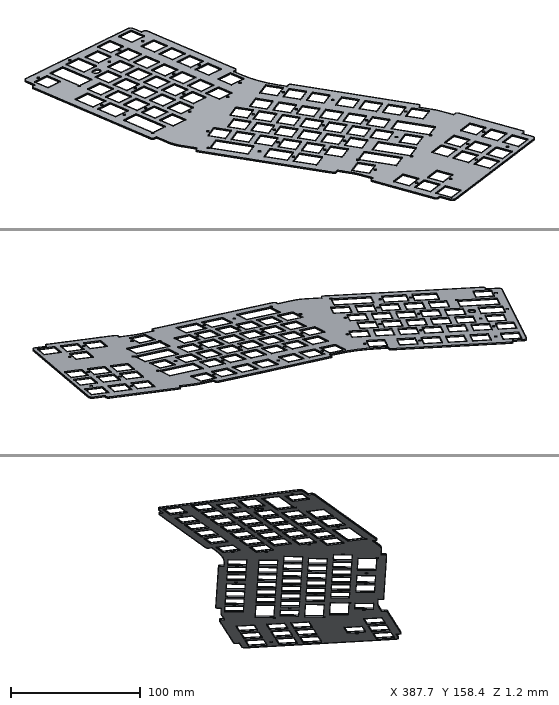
import cadquery as cq
import math

thickness = 1.2
screw_hole_diameter = 2.0
cluster_tilt = 12

seven_key_span = 114.3
steps_per_key = 4
step = seven_key_span / (6 * steps_per_key)
switch_size = 14.5
wide_size = switch_size + step
long_size = switch_size + 3.5 * step

tab_depth = 4.3
left_edge = -11.0
left_top, left_bottom = 10.5, -110.5
right_top, right_bottom = 10.0, -110.5
side_top, side_bottom, side_right = 12.8, -110.0, 48.8

corner_radius = 3.0
tab_corner_radius = 2.0
middle_top_radius = 77.5
middle_bottom_radius = 27.0
side_bend_radius = 31.0


def cluster_plane(x, y, tilt):
    """Local frame with its origin on the top-left key of a cluster."""
    angle = math.radians(tilt)
    return cq.Plane(origin=(x, y, 0), xDir=(math.cos(angle), math.sin(angle), 0), normal=(0, 0, 1))


left = cluster_plane(-160.7, 59.5, -cluster_tilt)
right = cluster_plane(-21.5, 37.5, cluster_tilt)
side = cluster_plane(145.0, 62.0, 0)


def edge_crossing(plane_a, height_a, plane_b, height_b):
    """Point where the horizontal edge lines of two clusters meet."""
    start = plane_a.toWorldCoords((0, height_a))
    target = plane_b.toWorldCoords((0, height_b))
    across = plane_b.yDir
    travel = (target - start).dot(across) / plane_a.xDir.dot(across)
    return (start + plane_a.xDir * travel).toTuple()[:2]


def corner(plane, x, y):
    """Plate position of a point given in a cluster frame."""
    return plane.toWorldCoords((x, y)).toTuple()[:2]


def round_at(body, point, radius):
    """Round the upright edge of the body that stands at a point."""
    x, y = point
    reach = 0.5
    box = cq.selectors.BoxSelector((x - reach, y - reach, -4), (x + reach, y + reach, 4))
    return body.edges("|Z").edges(box).fillet(radius)


def make_outline():
    rounded_corners = [
        (corner(left, left_edge, left_top), corner_radius),
        (edge_crossing(left, left_top, right, right_top), middle_top_radius),
        (edge_crossing(right, right_top, side, side_top), side_bend_radius),
        (corner(side, side_right, side_top), corner_radius),
        (corner(side, side_right, side_bottom), corner_radius),
        (edge_crossing(right, right_bottom, side, side_bottom), side_bend_radius),
        (edge_crossing(left, left_bottom, right, right_bottom), middle_bottom_radius),
        (corner(left, left_edge, left_bottom), corner_radius),
    ]
    body = cq.Workplane().polyline([point for point, _ in rounded_corners]).close().extrude(thickness)
    for point, radius in rounded_corners:
        body = round_at(body, point, radius)
    return body


def make_tab(plane, x_start, x_end, edge):
    """Mounting tab astride a cluster edge, reaching as far into the plate as out of it."""
    return (
        cq.Workplane(plane)
        .center((x_start + x_end) / 2, edge)
        .rect(x_end - x_start, 2 * tab_depth)
        .extrude(thickness)
        .edges("|Z")
        .fillet(tab_corner_radius)
    )


def make_openings(plane, rows, width):
    """Switch openings; rows maps a row height to the key positions along it."""
    places = [(x * step, y * step) for y, row in rows.items() for x in row]
    return cq.Workplane(plane).pushPoints(places).rect(width, switch_size).extrude(thickness)


def make_screw_holes(plane, places):
    centres = [(x * step, y * step) for x, y in places]
    return cq.Workplane(plane).pushPoints(centres).circle(screw_hole_diameter / 2).extrude(thickness)


def keys(first, count):
    """Positions of neighbouring single keys."""
    return [first + i * steps_per_key for i in range(count)]


plate = make_outline()

tabs = [
    (left, 0.8, 97.5, left_top),
    (left, 1.5, 129.5, left_bottom),
    (right, 9.3, 116.5, right_top),
    (right, -22.5, 91.8, right_bottom),
    (side, -25.0, 36.5, side_top),
    (side, -23.5, 36.5, side_bottom),
]
for tab in tabs:
    plate = plate.union(make_tab(*tab))

left_single = {
    0: [0, *keys(5, 4), 22],
    -5: keys(0, 7),
    -9: [1, *keys(6, 5)],
    -13: keys(7, 5),
    -17: keys(9, 5),
    -21: [1],
}
left_wide = {-13: [1], -21: [10.5, 15.5]}
left_long = {-17: [2.5], -21: [22.5]}
left_screws = [
    (2.5, 0), (15, 0), (24, 0),
    (2, -5), (14, -5), (26, -5),
    (3.5, -9), (20, -9),
    (-1.5, -13), (13, -13), (25, -13),
    (5.8, -18.6), (19, -17),
    (-1, -21), (13, -21), (18, -21), (25.8, -22.6),
]

right_single = {
    0: [*keys(0, 3), *keys(13, 4)],
    -5: keys(0, 6),
    -9: [*keys(-2, 7), 27],
    -13: keys(-1, 6),
    -17: keys(-3, 6),
    -21: [23],
}
right_wide = {-21: [8.5, 13.5]}
right_long = {-5: [26], -13: [25.5], -17: [24.5], -21: [0.5]}
right_screws = [
    (2, 0), (10.5, 0), (23, 0),
    (6, -5), (18, -5), (29.5, -6.6),
    (0, -9), (12, -9), (24.5, -9),
    (5, -13), (17, -13), (29, -14.6),
    (-5, -17), (7, -17), (15, -17), (21.2, -18.6),
    (-3, -22.6), (5.2, -21), (11, -21), (25, -21),
]

side_single = {
    0: keys(0, 3),
    -5: keys(0, 3),
    -9: keys(0, 3),
    -17: [4],
    -21: keys(0, 3),
}
side_screws = [(2, 0), (8, -2.5), (2, -5), (6, -9), (6, -17), (2, -21)]

openings = [
    (left, left_single, switch_size),
    (left, left_wide, wide_size),
    (left, left_long, long_size),
    (right, right_single, switch_size),
    (right, right_wide, wide_size),
    (right, right_long, long_size),
    (side, side_single, switch_size),
]
for opening in openings:
    plate = plate.cut(make_openings(*opening))

for plane, places in [(left, left_screws), (right, right_screws), (side, side_screws)]:
    plate = plate.cut(make_screw_holes(plane, places))

oval_length, oval_width = 7.5, 5.5
oval_x, oval_y = 4.3 * step, -12.9 * step
oval = cq.Workplane(left).center(oval_x, oval_y).slot2D(oval_length, oval_width, 90).extrude(thickness)

result = plate.cut(oval)